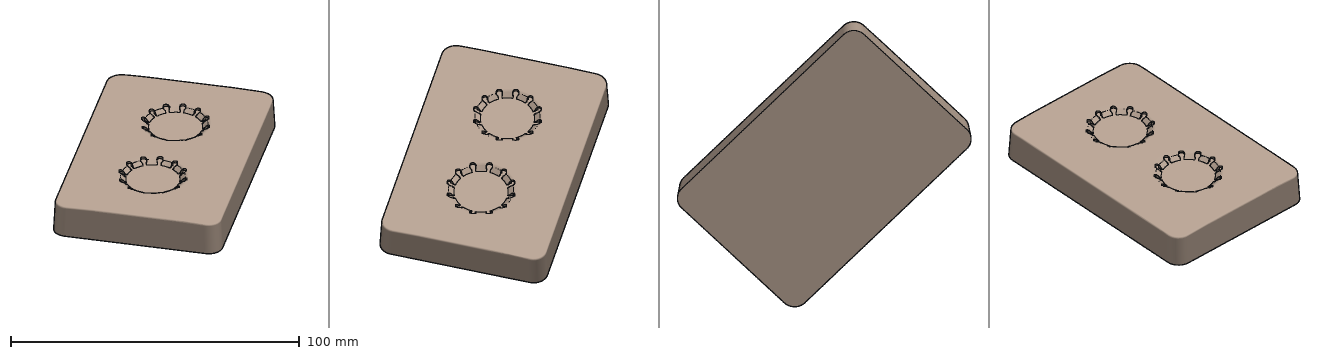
import cadquery as cq
import math

LENGTH = 90.0
WIDTH = 60.0
HEIGHT = 12.0
CORNER_RADIUS = 5.0
LONG_SIDE_DRAFT = 2.5
SHORT_SIDE_DRAFT = 3.0
TURN_ANGLE = 5.95
RIM_FILLET = 0.7
RIM_BAND = 2.5

FLAT_WIDTH = 29.0
FLAT_LENGTH = 70.0
CROWN_RADIUS = 200.0
CROWN_MARGIN = 5.0

DISH_SPACING = 35.0
DISH_RADIUS = 13.0
DISH_LIP_RADIUS = 3.2
CONE_TOP_RADIUS = 11.0
DISH_DEPTH = 2.0
CUT_CLEARANCE = 1.0

NOTCH_COUNT = 12
NOTCH_CIRCLE_RADIUS = 11.0
NOTCH_RADIUS = 1.1
NOTCH_SLOT_WIDTH = 1.3

UNDERCUT_INNER_RADIUS = 11.3
UNDERCUT_OUTER_RADIUS = 13.6
UNDERCUT_HEIGHT = 1.0


def rounded_rectangle(width, length):
    return cq.Sketch().rect(width, length).vertices().fillet(CORNER_RADIUS)


def drafted_slab():
    width_loss = 2 * HEIGHT * math.tan(math.radians(LONG_SIDE_DRAFT))
    length_loss = 2 * HEIGHT * math.tan(math.radians(SHORT_SIDE_DRAFT))
    bottom = rounded_rectangle(WIDTH, LENGTH)
    top = rounded_rectangle(WIDTH - width_loss, LENGTH - length_loss)
    raised_top = top.moved(cq.Location(cq.Vector(0, 0, HEIGHT)))
    return cq.Workplane("XY").placeSketch(bottom, raised_top).loft(ruled=True)


def crown_section(y):
    """Cross-section of the crown envelope in the XZ plane at the given y."""
    half_flat = FLAT_WIDTH / 2
    half_width = WIDTH / 2 + CROWN_MARGIN

    def crown_height(x):
        return HEIGHT - CROWN_RADIUS + math.sqrt(CROWN_RADIUS**2 - (x - half_flat) ** 2)

    middle = (half_flat + half_width) / 2
    return (
        cq.Workplane("XZ", origin=(0, y, 0))
        .moveTo(-half_flat, HEIGHT)
        .lineTo(half_flat, HEIGHT)
        .threePointArc((middle, crown_height(middle)), (half_width, crown_height(half_width)))
        .lineTo(half_width, -CROWN_MARGIN)
        .lineTo(-half_width, -CROWN_MARGIN)
        .lineTo(-half_width, crown_height(half_width))
        .threePointArc((-middle, crown_height(middle)), (-half_flat, HEIGHT))
        .close()
    )


def crown_envelope():
    """Everything below the crowned top: a straight run with a revolved run at each end."""
    half_flat = FLAT_LENGTH / 2
    end_reach = LENGTH / 2 + CROWN_MARGIN - half_flat
    end_angle = math.degrees(end_reach / (CROWN_RADIUS - HEIGHT - CROWN_MARGIN))
    axis_height = HEIGHT - CROWN_RADIUS
    envelope = crown_section(half_flat).extrude(FLAT_LENGTH)
    back = crown_section(half_flat).revolve(end_angle, (1, axis_height), (-1, axis_height))
    front = back.mirror("XZ")
    return envelope.union(back).union(front)


def rim_edges():
    """Selects the edges around the crowned top, without the lines that cross it."""
    low = HEIGHT - RIM_BAND
    high = HEIGHT + RIM_BAND
    outer_x = WIDTH / 2
    outer_y = LENGTH / 2
    inner_x = outer_x - RIM_BAND
    inner_y = outer_y - RIM_BAND
    whole_top = cq.selectors.BoxSelector((-outer_x, -outer_y, low), (outer_x, outer_y, high))
    inner_top = cq.selectors.BoxSelector((-inner_x, -inner_y, low), (inner_x, inner_y, high))
    return whole_top - inner_top


def crowned_plate():
    return drafted_slab().intersect(crown_envelope()).edges(rim_edges()).fillet(RIM_FILLET)


def dish_cutter():
    """Shallow dish about the Z axis: rounded lip, conical wall and flat floor."""
    wall_angle = math.asin((DISH_RADIUS - CONE_TOP_RADIUS) / DISH_LIP_RADIUS)
    lip_centre_height = HEIGHT - DISH_LIP_RADIUS

    def lip_point(angle):
        return (
            DISH_RADIUS - DISH_LIP_RADIUS * math.sin(angle),
            lip_centre_height + DISH_LIP_RADIUS * math.cos(angle),
        )

    cone_top = lip_point(wall_angle)
    floor_height = HEIGHT - DISH_DEPTH
    floor_radius = CONE_TOP_RADIUS - (cone_top[1] - floor_height) / math.tan(wall_angle)
    return (
        cq.Workplane("XZ")
        .moveTo(0, floor_height)
        .lineTo(floor_radius, floor_height)
        .lineTo(*cone_top)
        .threePointArc(lip_point(wall_angle / 2), (DISH_RADIUS, HEIGHT))
        .lineTo(DISH_RADIUS, HEIGHT + CUT_CLEARANCE)
        .lineTo(0, HEIGHT + CUT_CLEARANCE)
        .close()
        .revolve(360, (0, 0), (0, 1))
    )


def notch_cutter():
    """Keyhole on the +X side: a round pocket with a slot opening onto the dish floor."""
    depth = DISH_DEPTH + CUT_CLEARANCE
    base = cq.Workplane("XY").workplane(offset=HEIGHT - DISH_DEPTH)
    pocket = base.center(NOTCH_CIRCLE_RADIUS, 0).circle(NOTCH_RADIUS).extrude(depth)
    slot = base.center(NOTCH_CIRCLE_RADIUS / 2, 0).rect(NOTCH_CIRCLE_RADIUS, NOTCH_SLOT_WIDTH).extrude(depth)
    return pocket.union(slot)


def undercut_cutter():
    """Ring-shaped hollow behind the dish wall, level with its floor and reached through the notches."""
    ring = cq.Workplane("XY").workplane(offset=HEIGHT - DISH_DEPTH)
    return ring.circle(UNDERCUT_OUTER_RADIUS).circle(UNDERCUT_INNER_RADIUS).extrude(UNDERCUT_HEIGHT)


def notched_dish_cutter():
    cutter = dish_cutter().union(undercut_cutter())
    notch_step = 360 / NOTCH_COUNT
    for index in range(NOTCH_COUNT):
        notch = notch_cutter().rotate((0, 0, 0), (0, 0, 1), index * notch_step)
        cutter = cutter.union(notch)
    return cutter


plate = crowned_plate()
dish = notched_dish_cutter()
for side in (-1, 1):
    plate = plate.cut(dish.translate((0, side * DISH_SPACING / 2, 0)))

result = plate.rotate((0, 0, 0), (0, 0, 1), TURN_ANGLE)